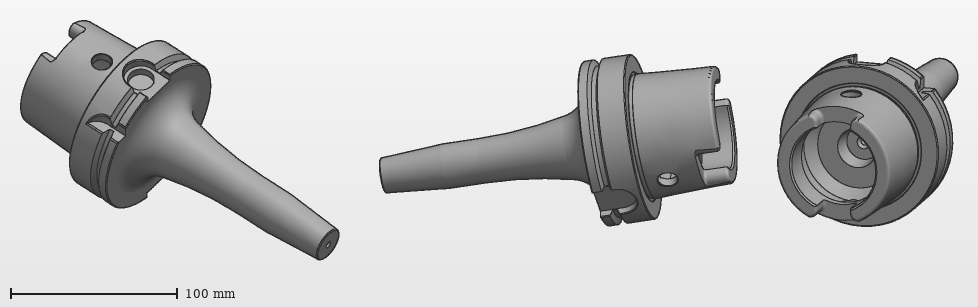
import cadquery as cq
import math


total_length = 210.0
flange_start = 50.0
flange_end = 79.0

shank_face_radius = 38.0
taper_slope = 0.05
tail_fillet = 1.9
relief_start = 47.9
relief_bend = 49.4
relief_depth = 0.2

flange_radius = 50.0
flange_chamfer = 0.6
face_ring_radius = 39.5
face_ring_depth = 0.5

groove_start = 66.8
groove_end = 73.0
groove_side = 1.3
groove_side_radius = 47.0
groove_root = 0.5
groove_radius = 46.0

blend_x = 94.7
blend_radius = 19.5
neck_start = 149.0
neck_end = 171.5
neck_radius = 13.55
tip_radius = 10.7
tip_chamfer = 0.6

bore_radius = 26.5
bore_chamfer = 1.0
bore_depth = 20.0
undercut_radius = 31.5
undercut_start = 22.9
undercut_end = 40.1
cavity_depth = 46.2
cavity_floor_radius = 24.8
seat_mouth_radius = 12.2
seat_radius = 10.5
seat_depth = 12.5
coolant_mouth_radius = 4.0
coolant_radius = 2.0

drive_width = 21.0
drive_round = 4.6
drive_flat = 32.0
drive_floor_fillet = 1.9
drive_depth_top = 10.0
drive_depth_bottom = 15.0
block_half = 63.0

slot_center = 65.0
slot_floor = 43.9
top_slot_width = 21.0
bottom_slot_width = 22.3
notch_width = 21.0
notch_wall = 31.5
notch_floor = 31.5
slot_edge_break = 0.6
match_tolerance = 0.002
chip_hole_diameter = 16.0
chip_hole_depth = 5.2
cross_hole_diameter = 12.0
cross_hole_edge_break = 0.5
cross_hole_x = 34.9


def turn(profile):
    return profile.close().revolve(360, (0, 0, 0), (1, 0, 0))


def taper_radius(x):
    return shank_face_radius - taper_slope * (flange_start - x)


def turned_body():
    run = neck_start - blend_x
    drop = blend_radius - neck_radius
    long_arc = (run ** 2 + drop ** 2) / (2 * drop)
    blend_angle = math.asin(run / long_arc)
    long_mid = (
        neck_start - long_arc * math.sin(blend_angle / 2),
        neck_radius + long_arc * (1 - math.cos(blend_angle / 2)),
    )

    root_arc = (blend_x - flange_end) / (1 - math.sin(blend_angle))
    root_radius = blend_radius + root_arc * math.cos(blend_angle)
    root_mid_angle = (blend_angle + math.pi / 2) / 2
    root_mid = (
        flange_end + root_arc * (1 - math.sin(root_mid_angle)),
        root_radius - root_arc * math.cos(root_mid_angle),
    )

    tail_radius = taper_radius(tail_fillet)
    relief_radius = taper_radius(relief_start) - relief_depth
    ring_x = flange_start + face_ring_depth
    return turn(
        cq.Workplane("XY")
        .moveTo(0, 0)
        .lineTo(0, tail_radius - tail_fillet)
        .radiusArc((tail_fillet, tail_radius), tail_fillet)
        .lineTo(relief_start, taper_radius(relief_start))
        .lineTo(relief_start + relief_depth, relief_radius)
        .lineTo(relief_bend, relief_radius)
        .lineTo(ring_x, relief_radius - relief_depth)
        .lineTo(ring_x, face_ring_radius - face_ring_depth)
        .lineTo(flange_start, face_ring_radius)
        .lineTo(flange_start, flange_radius - flange_chamfer)
        .lineTo(flange_start + flange_chamfer, flange_radius)
        .lineTo(flange_end - flange_chamfer, flange_radius)
        .lineTo(flange_end, flange_radius - flange_chamfer)
        .lineTo(flange_end, root_radius)
        .threePointArc(root_mid, (blend_x, blend_radius))
        .threePointArc(long_mid, (neck_start, neck_radius))
        .lineTo(neck_end, neck_radius)
        .lineTo(total_length - tip_chamfer, tip_radius)
        .lineTo(total_length, tip_radius - tip_chamfer)
        .lineTo(total_length, 0)
    )


def inner_bores():
    seat_x = cavity_depth + seat_depth
    return turn(
        cq.Workplane("XY")
        .moveTo(0, 0)
        .lineTo(0, bore_radius + bore_chamfer)
        .lineTo(bore_chamfer, bore_radius)
        .lineTo(bore_depth, bore_radius)
        .lineTo(undercut_start, undercut_radius)
        .lineTo(undercut_end, undercut_radius)
        .lineTo(cavity_depth, cavity_floor_radius)
        .lineTo(cavity_depth, seat_mouth_radius)
        .lineTo(seat_x, seat_radius)
        .lineTo(seat_x, coolant_mouth_radius)
        .lineTo(seat_x + coolant_mouth_radius - coolant_radius, coolant_radius)
        .lineTo(total_length, coolant_radius)
        .lineTo(total_length, 0)
    )


def gripper_groove():
    return turn(
        cq.Workplane("XY")
        .moveTo(groove_start, block_half)
        .lineTo(groove_start, flange_radius)
        .lineTo(groove_start + groove_side, groove_side_radius)
        .lineTo(groove_start + groove_side + groove_root, groove_radius)
        .lineTo(groove_end - groove_side - groove_root, groove_radius)
        .lineTo(groove_end - groove_side, groove_side_radius)
        .lineTo(groove_end, flange_radius)
        .lineTo(groove_end, block_half)
    )


def drive_slot(depth):
    """Slot on the +Z side whose walls round over into a level shoulder."""
    half_width = drive_width / 2
    arc_inset = drive_round * (1 - math.sqrt(0.5))
    half_slot = (
        cq.Workplane("YZ")
        .moveTo(0, 0)
        .lineTo(half_width, 0)
        .lineTo(half_width, drive_flat - drive_round)
        .threePointArc(
            (half_width + arc_inset, drive_flat - arc_inset),
            (half_width + drive_round, drive_flat),
        )
        .lineTo(block_half, drive_flat)
        .lineTo(block_half, block_half)
        .lineTo(0, block_half)
        .close()
        .extrude(depth)
    )
    slot = half_slot.union(half_slot.mirror("XZ"))
    wall_edges = slot.faces(">X").edges("not(<Y or >Y or <Z or >Z)")
    return wall_edges.fillet(drive_floor_fillet)


def drive_envelope():
    """Oversize block carrying both drive slots and their rounded mouths."""
    block = (
        cq.Workplane("YZ")
        .rect(2 * block_half, 2 * block_half)
        .extrude(total_length)
        .cut(drive_slot(drive_depth_top))
        .cut(drive_slot(drive_depth_bottom).mirror("XY"))
    )
    return block.faces("<X").edges("not(<Y or >Y)").fillet(tail_fillet)


def flange_slot(width, floor, center_y=0.0):
    """Round-ended slot on the +Z side, open toward the nose."""
    run = flange_end - slot_center
    base = cq.Workplane("XY", origin=(slot_center, center_y, floor))
    round_end = base.circle(width / 2).extrude(block_half - floor)
    straight = base.center(run / 2, 0).rect(run, width).extrude(block_half - floor)
    return round_end.union(straight)


def is_slot_rim(edge):
    """True for an edge where a slot breaks through the flange rim."""
    def on_rim(vertex):
        radius = math.hypot(vertex.Y, vertex.Z)
        behind_face = vertex.X > flange_start + 2 * flange_chamfer
        return behind_face and abs(radius - flange_radius) < match_tolerance

    return edge.geomType() != "CIRCLE" and all(on_rim(vertex) for vertex in edge.Vertices())


def cut_flange_slots(body):
    body = body.cut(flange_slot(top_slot_width, slot_floor))
    body = body.cut(flange_slot(bottom_slot_width, slot_floor).mirror("XY"))
    body = body.cut(flange_slot(notch_width, notch_floor, -notch_wall - notch_width / 2))
    rim_edges = [edge for edge in body.edges().vals() if is_slot_rim(edge)]
    return body.newObject(rim_edges).chamfer(slot_edge_break)


def chip_hole():
    bottom = slot_floor - chip_hole_depth
    base = cq.Workplane("XY", origin=(slot_center, 0, bottom))
    return base.circle(chip_hole_diameter / 2).extrude(flange_radius - bottom)


def cross_hole():
    """Hole through both shank walls, slightly flared at the outer surface."""
    radius = cross_hole_diameter / 2
    mouth = taper_radius(cross_hole_x)
    half_hole = (
        cq.Workplane("XZ", origin=(cross_hole_x, 0, 0))
        .lineTo(radius, 0)
        .lineTo(radius, mouth - 2 * cross_hole_edge_break)
        .lineTo(radius + cross_hole_edge_break, mouth - cross_hole_edge_break)
        .lineTo(radius + cross_hole_edge_break, block_half)
        .lineTo(0, block_half)
        .close()
        .revolve(360, (0, 0, 0), (0, 1, 0))
    )
    return half_hole.union(half_hole.mirror("XY"))


result = cut_flange_slots(turned_body())
result = result.cut(gripper_groove())
result = result.intersect(drive_envelope())
result = result.cut(inner_bores())
result = result.cut(chip_hole())
result = result.cut(cross_hole())